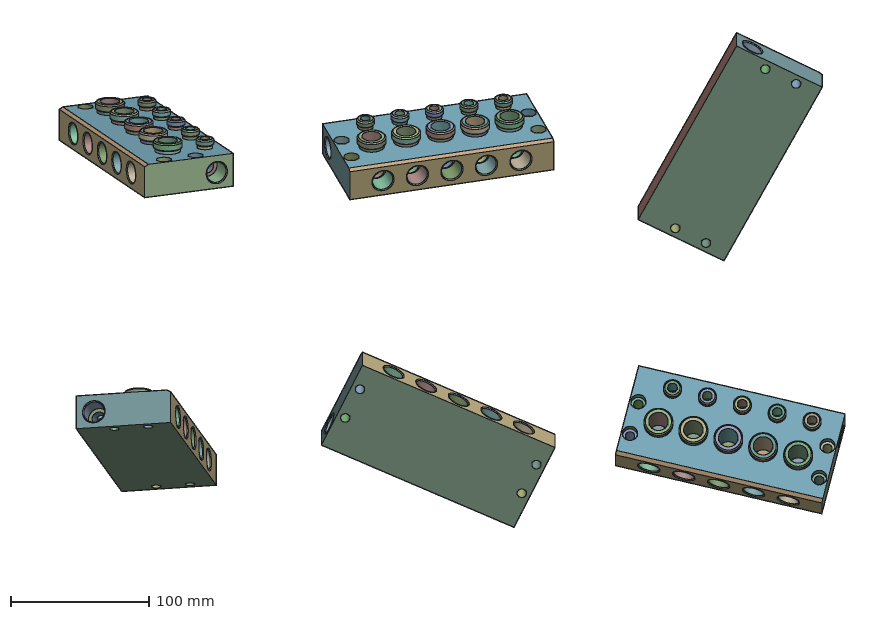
import cadquery as cq

UP = (0, 0, 1)
BACKWARD = (0, 1, 0)
RIGHT = (1, 0, 0)
LEFT = (-1, 0, 0)

LENGTH = 154.0
WIDTH = 70.0
TOTAL_HEIGHT = 33.0
BIG_BOSS_HEIGHT = 8.0
BLOCK_HEIGHT = TOTAL_HEIGHT - BIG_BOSS_HEIGHT
FRONT_BEVEL_DEPTH = 3.0
FRONT_BEVEL_HEIGHT = 1.5

STATIONS = 5
PITCH = 26.0
ROW_SPAN = PITCH * (STATIONS - 1)
SMALL_ROW_SHIFT = 3.5
FIRST_BIG_X = (LENGTH - ROW_SPAN) / 2
BIG_ROW_X = [FIRST_BIG_X + PITCH * i for i in range(STATIONS)]
SMALL_ROW_X = [x + SMALL_ROW_SHIFT for x in BIG_ROW_X]
BIG_ROW_BACK_DISTANCE = 41.0
SMALL_ROW_BACK_DISTANCE = 13.1
BIG_ROW_Y = WIDTH - BIG_ROW_BACK_DISTANCE
SMALL_ROW_Y = WIDTH - SMALL_ROW_BACK_DISTANCE

BIG_HEAD_DIAMETER = 21.0
BIG_NECK_DIAMETER = 18.6
SMALL_BOSS_HEIGHT = 7.1
SMALL_HEAD_DIAMETER = 13.1
SMALL_NECK_DIAMETER = 11.2
NECK_HEIGHT = 2.2
HEAD_START = 3.1
RIM_CHAMFER = 1.0

PORT_DIAMETER = 15.2
PORT_DEPTH = 17.0
PORT_CHAMFER = 0.8
PORT_Z = 12.0

BIG_BORE_DIAMETER = 14.0
LINK_DIAMETER = 12.0
LINK_Z = 11.0
BIG_BORE_FLOOR = LINK_Z - LINK_DIAMETER / 2
GALLERY_DIAMETER = 10.0
SMALL_BORE_DIAMETER = 7.0

MOUNT_DIAMETER = 6.8
MOUNT_COUNTERBORE_DIAMETER = 11.0
MOUNT_COUNTERBORE_DEPTH = 6.0
MOUNT_END_DISTANCE = 6.5
MOUNT_X = [MOUNT_END_DISTANCE, LENGTH - MOUNT_END_DISTANCE]
MOUNT_BACK_DISTANCES = [27.0, 52.0]
MOUNT_Y = [WIDTH - distance for distance in MOUNT_BACK_DISTANCES]


def cylinder(start, direction, diameter, length):
    """A cylinder that runs from a start point along a direction."""
    return cq.Workplane(cq.Solid.makeCylinder(diameter / 2, length, cq.Vector(*start), cq.Vector(*direction)))


def boss(x, y, height, head_diameter, neck_diameter):
    """A solid boss that stands on the top face of the block."""
    head_radius = head_diameter / 2
    neck_radius = neck_diameter / 2
    return (
        cq.Workplane("XZ")
        .moveTo(0, 0)
        .lineTo(neck_radius, 0)
        .lineTo(neck_radius, NECK_HEIGHT)
        .lineTo(head_radius, HEAD_START)
        .lineTo(head_radius, height - RIM_CHAMFER)
        .lineTo(head_radius - RIM_CHAMFER, height)
        .lineTo(0, height)
        .close()
        .revolve(360, (0, 0), (0, 1))
        .translate((x, y, BLOCK_HEIGHT))
    )


def port(start, direction):
    """The cutter for a flat-bottomed port with a chamfered mouth."""
    radius = PORT_DIAMETER / 2
    mouth = cq.Solid.makeCone(
        radius + PORT_CHAMFER, radius, PORT_CHAMFER, cq.Vector(*start), cq.Vector(*direction)
    )
    return cylinder(start, direction, PORT_DIAMETER, PORT_DEPTH).union(cq.Workplane(mouth))


block_profile = [
    (0, 0),
    (WIDTH, 0),
    (WIDTH, BLOCK_HEIGHT),
    (FRONT_BEVEL_DEPTH, BLOCK_HEIGHT),
    (0, BLOCK_HEIGHT - FRONT_BEVEL_HEIGHT),
]
result = cq.Workplane("YZ").polyline(block_profile).close().extrude(LENGTH)

big_bore_depth = TOTAL_HEIGHT - BIG_BORE_FLOOR
for x in BIG_ROW_X:
    result = result.union(boss(x, BIG_ROW_Y, BIG_BOSS_HEIGHT, BIG_HEAD_DIAMETER, BIG_NECK_DIAMETER))
    result = result.cut(cylinder((x, BIG_ROW_Y, BIG_BORE_FLOOR), UP, BIG_BORE_DIAMETER, big_bore_depth))
    result = result.cut(port((x, 0, PORT_Z), BACKWARD))
    result = result.cut(cylinder((x, 0, LINK_Z), BACKWARD, LINK_DIAMETER, BIG_ROW_Y))

result = result.cut(cylinder((0, SMALL_ROW_Y, PORT_Z), RIGHT, GALLERY_DIAMETER, LENGTH))
result = result.cut(port((0, SMALL_ROW_Y, PORT_Z), RIGHT))
result = result.cut(port((LENGTH, SMALL_ROW_Y, PORT_Z), LEFT))

small_bore_depth = BLOCK_HEIGHT + SMALL_BOSS_HEIGHT - PORT_Z
for x in SMALL_ROW_X:
    result = result.union(boss(x, SMALL_ROW_Y, SMALL_BOSS_HEIGHT, SMALL_HEAD_DIAMETER, SMALL_NECK_DIAMETER))
    result = result.cut(cylinder((x, SMALL_ROW_Y, PORT_Z), UP, SMALL_BORE_DIAMETER, small_bore_depth))

counterbore_floor = BLOCK_HEIGHT - MOUNT_COUNTERBORE_DEPTH
for x in MOUNT_X:
    for y in MOUNT_Y:
        hole = cylinder((x, y, 0), UP, MOUNT_DIAMETER, BLOCK_HEIGHT)
        counterbore = cylinder(
            (x, y, counterbore_floor), UP, MOUNT_COUNTERBORE_DIAMETER, MOUNT_COUNTERBORE_DEPTH
        )
        result = result.cut(hole).cut(counterbore)